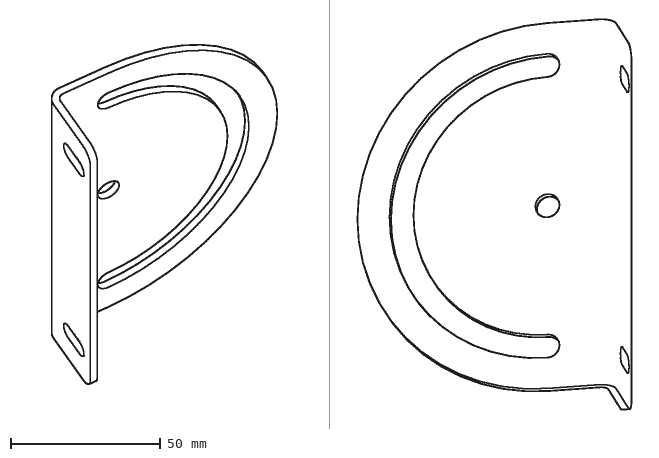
import cadquery as cq

height = 130.0
flange_width = 30.0
sheet = 2.7
bend_outer_radius = 5.1
bend_inner_radius = bend_outer_radius - sheet

plate_radius = height / 2
pivot_y = 22.5
plate_depth = pivot_y + plate_radius
pivot_diameter = 8.2
arc_slot_radius = 49.9
arc_slot_width = 8.2

flange_corner_radius = 5.1
mount_slot_spacing = 100.0
mount_slot_length = 13.8
mount_slot_width = 6.5
mount_slot_x = 18.8


def bent_sheet():
    """L profile with a rounded bend, extruded along the full height."""
    profile = (
        cq.Workplane("XY")
        .moveTo(0, 0)
        .lineTo(flange_width, 0)
        .lineTo(flange_width, sheet)
        .lineTo(sheet, sheet)
        .lineTo(sheet, plate_depth)
        .lineTo(0, plate_depth)
        .close()
    )
    body = profile.extrude(plate_radius, both=True)
    body = body.edges(cq.selectors.NearestToPointSelector((0, 0, 0))).fillet(bend_outer_radius)
    return body.edges(cq.selectors.NearestToPointSelector((sheet, sheet, 0))).fillet(bend_inner_radius)


def bracket_envelope():
    """Side outline: straight by the bend, semicircular at the far end."""
    return (
        cq.Workplane("YZ")
        .moveTo(0, -plate_radius)
        .lineTo(pivot_y, -plate_radius)
        .threePointArc((plate_depth, 0), (pivot_y, plate_radius))
        .lineTo(0, plate_radius)
        .close()
        .extrude(flange_width)
    )


def arc_slot():
    """Half-circle slot about the pivot, with round ends."""
    inner = arc_slot_radius - arc_slot_width / 2
    outer = arc_slot_radius + arc_slot_width / 2
    end_y = pivot_y - arc_slot_width / 2
    return (
        cq.Workplane("YZ")
        .moveTo(pivot_y, -outer)
        .threePointArc((pivot_y + outer, 0), (pivot_y, outer))
        .threePointArc((end_y, arc_slot_radius), (pivot_y, inner))
        .threePointArc((pivot_y + inner, 0), (pivot_y, -inner))
        .threePointArc((end_y, -arc_slot_radius), (pivot_y, -outer))
        .close()
        .extrude(sheet)
    )


def pivot_hole():
    return cq.Workplane("YZ").center(pivot_y, 0).circle(pivot_diameter / 2).extrude(sheet)


def mount_slots():
    """Two horizontal slots through the flange."""
    half_spacing = mount_slot_spacing / 2
    return (
        cq.Workplane("XZ")
        .pushPoints([(mount_slot_x, -half_spacing), (mount_slot_x, half_spacing)])
        .slot2D(mount_slot_length, mount_slot_width)
        .extrude(-sheet)
    )


bracket = bent_sheet().intersect(bracket_envelope())
bracket = bracket.edges("|Y and >X").fillet(flange_corner_radius)
result = bracket.cut(arc_slot()).cut(pivot_hole()).cut(mount_slots())